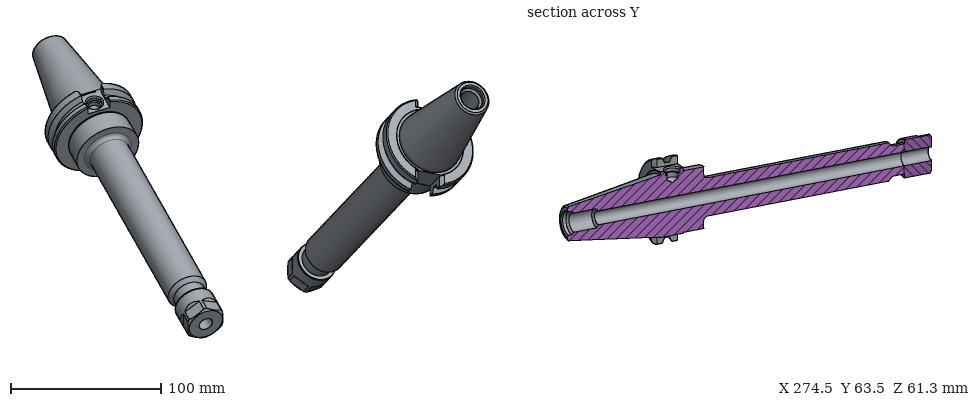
import cadquery as cq
import math


total_length = 274.5
taper_end = 68.4
flange_start = 69.2
flange_end = 87.3
groove_centre = 79.3
hub_end = 103.0
shank_end = 242.0
nut_start = 254.0

taper_large_diameter = 44.5
taper_ratio = 7 / 24
tip_chamfer = 1.0

flange_diameter = 63.5
flange_chamfer = 0.8
groove_floor_width = 3.5
groove_depth = 3.8
groove_wall_angle = 28
relief_outer_diameter = 48.5
relief_depth = 0.8
slot_width = 15.6
slot_edge_chamfer = 0.5
slot_chamfer = 2.7
upper_slot_floor = 24.5
lower_slot_floor = 22.8

drill_point_angle = 118

seat_diameter = 10.5
seat_chamfer = 0.95
seat_depth = 3.3
screw_hole_diameter = 8.0
screw_hole_depth = 7.0

hub_diameter = 44.5
undercut_diameter = 44.0
undercut_length = 0.8
shank_diameter = 27.7
shank_fillet = 3.0
neck_diameter = 22.0

through_diameter = 9.5
bore_mouth_diameter = 18.0
bore_diameter = 16.5
thread_diameter = 13.5
bore_depth = 3.3
thread_depth = 22.0

nut_diameter = 27.7
nut_back_chamfer_length = 0.8
nut_back_chamfer_height = 0.3
nut_front_chamfer_length = 1.0
nut_front_chamfer_height = 2.0
hexagon_width = 25.0
hexagon_start = 265.7
runout_angle = 37
hexagon_sides = 6


def turned(points):
    """Solid of revolution about the X axis of an outline of (station, radius) points."""
    return cq.Workplane("XY").polyline(points).close().revolve(360, (0, 0, 0), (1, 0, 0))


def make_blank():
    """Turned outside of the holder: taper, grooved flange, hub, shank and neck."""
    taper_radius = taper_large_diameter / 2
    tip_radius = taper_radius - taper_end * taper_ratio / 2
    flange_radius = flange_diameter / 2
    hub_radius = hub_diameter / 2
    undercut_radius = undercut_diameter / 2
    shank_radius = shank_diameter / 2
    neck_radius = neck_diameter / 2
    floor_half = groove_floor_width / 2
    top_half = floor_half + groove_depth * math.tan(math.radians(groove_wall_angle))
    fillet_inset = shank_fillet * (1 - math.sqrt(0.5))
    return (
        cq.Workplane("XY")
        .moveTo(0, 0)
        .lineTo(0, tip_radius - tip_chamfer)
        .lineTo(tip_chamfer, tip_radius + tip_chamfer * taper_ratio / 2)
        .lineTo(taper_end, taper_radius)
        .lineTo(flange_start, taper_radius)
        .lineTo(flange_start, flange_radius - flange_chamfer)
        .lineTo(flange_start + flange_chamfer, flange_radius)
        .lineTo(groove_centre - top_half, flange_radius)
        .lineTo(groove_centre - floor_half, flange_radius - groove_depth)
        .lineTo(groove_centre + floor_half, flange_radius - groove_depth)
        .lineTo(groove_centre + top_half, flange_radius)
        .lineTo(flange_end - flange_chamfer, flange_radius)
        .lineTo(flange_end, flange_radius - flange_chamfer)
        .lineTo(flange_end, undercut_radius)
        .lineTo(flange_end + undercut_length, undercut_radius)
        .lineTo(flange_end + undercut_length, hub_radius)
        .lineTo(hub_end, hub_radius)
        .lineTo(hub_end, shank_radius + shank_fillet)
        .threePointArc(
            (hub_end + fillet_inset, shank_radius + fillet_inset),
            (hub_end + shank_fillet, shank_radius),
        )
        .lineTo(shank_end, shank_radius)
        .lineTo(shank_end + shank_radius - neck_radius, neck_radius)
        .lineTo(nut_start, neck_radius)
        .lineTo(nut_start, 0)
        .close()
        .revolve(360, (0, 0, 0), (1, 0, 0))
    )


def make_face_relief():
    """Shallow ring cut into the front face of the flange around the taper."""
    inner_radius = taper_large_diameter / 2
    outer_radius = relief_outer_diameter / 2
    relief_end = flange_start + relief_depth
    return turned([
        (flange_start, inner_radius),
        (flange_start, outer_radius),
        (relief_end, outer_radius),
        (relief_end, inner_radius),
    ])


def make_drive_slot(floor_height, side):
    """Slot across the flange, widened by chamfers at its front; side is 1 for +Z, -1 for -Z."""
    half = slot_width / 2
    return (
        cq.Workplane("XY")
        .workplane(offset=side * floor_height)
        .polyline([
            (flange_start, -half - slot_chamfer),
            (flange_start, half + slot_chamfer),
            (flange_start + slot_chamfer, half),
            (flange_end, half),
            (flange_end, -half),
            (flange_start + slot_chamfer, -half),
        ])
        .close()
        .extrude(side * flange_diameter / 2)
    )


def make_slot_edge_chamfers(side):
    """Wedge that bevels the long rim edges of one slot; side is 1 for +Z, -1 for -Z."""
    half = slot_width / 2
    edge_height = math.sqrt((flange_diameter / 2) ** 2 - half ** 2)
    bevel_foot = edge_height - slot_edge_chamfer
    top_half = half + flange_diameter / 2 - bevel_foot
    return (
        cq.Workplane("YZ")
        .workplane(offset=flange_start)
        .polyline([
            (-half, side * bevel_foot),
            (half, side * bevel_foot),
            (top_half, side * flange_diameter / 2),
            (-top_half, side * flange_diameter / 2),
        ])
        .close()
        .extrude(flange_end - flange_start)
    )


def make_screw_seat():
    """Flat-bottomed seat with a chamfered rim, and a blind drilled hole below it, along Z."""
    seat_radius = seat_diameter / 2
    hole_radius = screw_hole_diameter / 2
    point_length = hole_radius / math.tan(math.radians(drill_point_angle / 2))
    seat_floor = upper_slot_floor - seat_depth
    hole_floor = upper_slot_floor - screw_hole_depth
    return (
        cq.Workplane("XZ")
        .polyline([
            (0, upper_slot_floor),
            (seat_radius + seat_chamfer, upper_slot_floor),
            (seat_radius, upper_slot_floor - seat_chamfer),
            (seat_radius, seat_floor),
            (hole_radius, seat_floor),
            (hole_radius, hole_floor),
            (0, hole_floor - point_length),
        ])
        .close()
        .revolve(360, (0, 0, 0), (0, 1, 0))
        .translate((groove_centre, 0, 0))
    )


def make_bore():
    """Chamfered mouth, plain bore, thread bore with a drilled end, and through hole."""
    bore_radius = bore_diameter / 2
    thread_radius = thread_diameter / 2
    through_radius = through_diameter / 2
    mouth_radius = bore_mouth_diameter / 2
    cone_length = (thread_radius - through_radius) / math.tan(math.radians(drill_point_angle / 2))
    return turned([
        (0, 0),
        (0, mouth_radius),
        (mouth_radius - bore_radius, bore_radius),
        (bore_depth, bore_radius),
        (bore_depth + bore_radius - thread_radius, thread_radius),
        (thread_depth, thread_radius),
        (thread_depth + cone_length, through_radius),
        (nut_start, through_radius),
        (nut_start, 0),
    ])


def make_holder():
    return (
        make_blank()
        .cut(make_face_relief())
        .cut(make_drive_slot(upper_slot_floor, 1))
        .cut(make_drive_slot(lower_slot_floor, -1))
        .cut(make_slot_edge_chamfers(1))
        .cut(make_slot_edge_chamfers(-1))
        .cut(make_screw_seat())
        .cut(make_bore())
    )


def make_flat_cutter():
    """Cutter for the flat on the +Y side, with a sloping run-out towards the nut body."""
    flat = hexagon_width / 2
    clearance = nut_diameter / 2
    runout_length = clearance / math.tan(math.radians(runout_angle))
    return (
        cq.Workplane("XY")
        .polyline([
            (hexagon_start, flat),
            (total_length, flat),
            (total_length, flat + clearance),
            (hexagon_start - runout_length, flat + clearance),
        ])
        .close()
        .extrude(clearance, both=True)
    )


def make_nut():
    """Round nut with a bore and six spanner flats at its front."""
    nut_radius = nut_diameter / 2
    through_radius = through_diameter / 2
    nut = turned([
        (nut_start, through_radius),
        (nut_start, nut_radius - nut_back_chamfer_height),
        (nut_start + nut_back_chamfer_length, nut_radius),
        (total_length - nut_front_chamfer_length, nut_radius),
        (total_length, nut_radius - nut_front_chamfer_height),
        (total_length, through_radius),
    ])
    cutter = make_flat_cutter()
    for side in range(hexagon_sides):
        angle = side * 360 / hexagon_sides
        nut = nut.cut(cutter.rotate((0, 0, 0), (1, 0, 0), angle))
    return nut


holder = make_holder()
nut = make_nut()
result = cq.Compound.makeCompound([holder.val(), nut.val()])